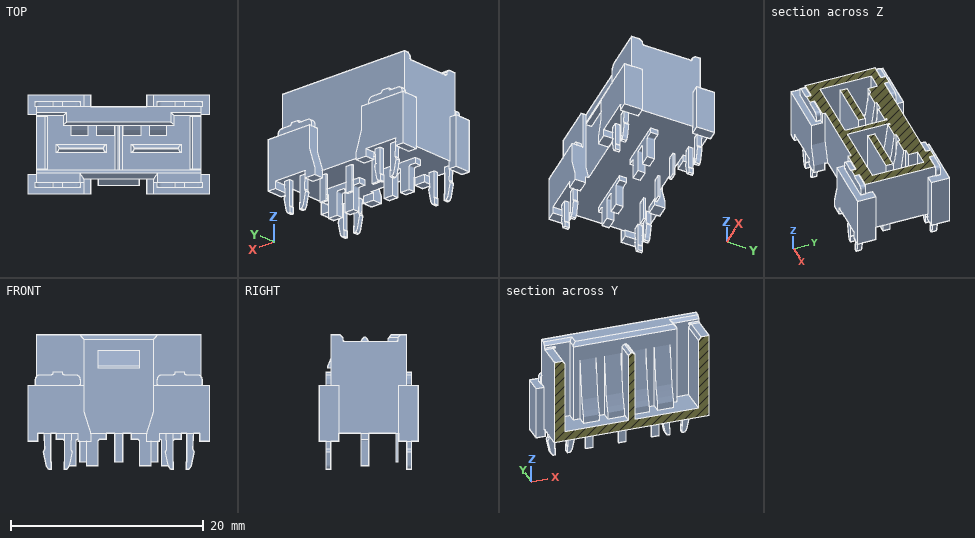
import cadquery as cq
import math


BODY_LENGTH = 17.1
BODY_WIDTH = 7.86
BODY_BOTTOM = 0.85
BODY_TOP = 11.1
BODY_FRONT = -BODY_WIDTH / 2
BODY_BACK = BODY_WIDTH / 2

CAVITY_LENGTH = 14.76
CAVITY_FRONT = -2.66
CAVITY_BACK = 3.02
CAVITY_FLOOR = 2.0
RIM_CHAMFER = 0.32
END_WALL_TOP = 10.39
END_WALL_CHAMFER_WIDTH = 0.27
END_WALL_CHAMFER_DEPTH = 0.39
NOTCH_CORNER = 0.13

BLOCK_LENGTH = 11.46
BLOCK_FRONT = 2.0
BLOCK_BEVEL_WIDTH = 0.32
BLOCK_BEVEL_DEPTH = 0.45
RIB_WIDTH = 0.74
RIB_TOP = 9.95
RIB_CHAMFER = 0.28

PANEL_LENGTH = 7.24
PANEL_FACE = -3.6
PANEL_TAPER_DEPTH = 0.51
PANEL_TAPER_SIDE = 0.42
LATCH_LENGTH = 4.3
LATCH_TIP = -4.27
LATCH_TOP = 9.43
LATCH_RIDGE = 7.82
LATCH_BOTTOM = 7.63

SHOULDER_SPAN_X = 18.9
SHOULDER_SPAN_Y = 10.3
SHOULDER_THICKNESS = 2.05
SHOULDER_TOP = 5.84
SHOULDER_SLANT_TOP = 3.13
FOOT_INNER_X = 2.9
FOOT_GAP_START = 4.26
FOOT_GAP_END = 8.41

CLIP_X = 6.34
CLIP_THICKNESS = 0.52
CLIP_WIDTH = 4.68
CLIP_TOP = 6.93
CLIP_CORNER = 0.51
CLIP_LOWER_CORNER = 0.1
BUMP_HALF_WIDTH = 0.48
BUMP_HEIGHT = 0.28
BUMP_FILLET = 0.2
LEG_INNER = 0.72
LEG_OUTER = 1.44
LEG_WAIST = 1.36
LEG_WAIST_Z = -0.8
LEG_BARB = 1.51
LEG_BARB_Z = -1.1
LEG_TAPER_END = 1.22
LEG_TAPER_END_Z = -2.45
LEG_TIP_INNER = 0.66
LEG_TIP_STEP_Z = -2.15
LEG_TIP_OUTER = 0.93
LEG_BOTTOM = -2.9

BLADE_X = 3.905
BLADE_LENGTH = 5.22
BLADE_BACK = 0.0
BLADE_THICKNESS = 0.82
BLADE_SHOULDER_Z = 10.15
BLADE_TOP = 10.88
BLADE_RIDGE_WIDTH = 0.1
BLADE_END_BEVEL = 0.3
BLADE_BOTTOM = 0.22
POWER_LEG_WIDTH = 1.22
POWER_LEG_BOTTOM = -2.53
POWER_LEG_OUTER_X = 5.05
POWER_LEG_INNER_X = 2.745
POWER_LEG_FILLET = 0.18

SPRING_TOP = 8.9
SPRING_CROWN_Y = 0.96
SPRING_CROWN_TOP = 2.7
SPRING_BENDS = [(1.46, 4.5), (1.31, 3.9), (1.15, 3.3)]
OUTER_SPRING_X = 4.1
OUTER_SPRING_WIDTH = 1.76
INNER_SPRING_X = 1.375
INNER_SPRING_WIDTH = 1.83
SIGNAL_PIN_PITCH = 3.65
SIGNAL_PIN_WIDTH = 0.84
SIGNAL_PIN_BACK = 3.06
SIGNAL_PIN_THICKNESS = 0.23
SIGNAL_PIN_BOTTOM = -2.15

EMBED = 0.5


def block(x_range, y_range, z_range):
    """Rectangular block between two limits on each axis."""
    (x0, x1), (y0, y1), (z0, z1) = x_range, y_range, z_range
    return cq.Workplane("XY").box(x1 - x0, y1 - y0, z1 - z0, centered=False).translate((x0, y0, z0))


def centred_block(length, y_range, z_range, x=0.0):
    """Rectangular block centred at x."""
    return block((x - length / 2, x + length / 2), y_range, z_range)


def bar_along_x(points, length, x=0.0):
    """Bar with a closed (y, z) section, centred at x."""
    return cq.Workplane("YZ").polyline(points).close().extrude(length / 2, both=True).translate((x, 0, 0))


def tapered_cutter(lower, upper, z0, z1):
    """Cutter between two (x half length, front y, back y) rectangles."""

    def corners(rectangle):
        half, front, back = rectangle
        return [(-half, front), (half, front), (half, back), (-half, back)]

    base = cq.Workplane("XY").workplane(offset=z0).polyline(corners(lower)).close()
    return base.workplane(offset=z1 - z0).polyline(corners(upper)).close().loft(ruled=True)


def end_wall_notch():
    """Full-length cutter that lowers the end walls and bevels the rims of the long walls."""
    profile = [
        (CAVITY_FRONT + NOTCH_CORNER, END_WALL_TOP),
        (CAVITY_BACK - NOTCH_CORNER, END_WALL_TOP),
        (CAVITY_BACK, END_WALL_TOP + NOTCH_CORNER),
        (CAVITY_BACK, BODY_TOP - RIM_CHAMFER),
        (CAVITY_BACK + RIM_CHAMFER, BODY_TOP),
        (CAVITY_FRONT - RIM_CHAMFER, BODY_TOP),
        (CAVITY_FRONT, BODY_TOP - RIM_CHAMFER),
        (CAVITY_FRONT, END_WALL_TOP + NOTCH_CORNER),
    ]
    return bar_along_x(profile, BODY_LENGTH)


def cavity():
    half = CAVITY_LENGTH / 2
    y_range = (CAVITY_FRONT, CAVITY_BACK)
    pocket = centred_block(CAVITY_LENGTH, y_range, (CAVITY_FLOOR, BODY_TOP))
    end_bevel = tapered_cutter(
        (half, *y_range),
        (half + END_WALL_CHAMFER_WIDTH, *y_range),
        END_WALL_TOP - END_WALL_CHAMFER_DEPTH,
        END_WALL_TOP,
    )
    return pocket.union(end_bevel).union(end_wall_notch())


def wall_block():
    """Thickening of the back wall, bevelled along its front and side rims."""
    half = BLOCK_LENGTH / 2
    back = CAVITY_BACK + RIM_CHAMFER
    depth_profile = [
        (back, BODY_BOTTOM),
        (BLOCK_FRONT, BODY_BOTTOM),
        (BLOCK_FRONT, BODY_TOP - BLOCK_BEVEL_DEPTH),
        (BLOCK_FRONT + BLOCK_BEVEL_WIDTH, BODY_TOP),
        (back, BODY_TOP),
    ]
    length_profile = [
        (-half, BODY_BOTTOM),
        (half, BODY_BOTTOM),
        (half, BODY_TOP - RIM_CHAMFER),
        (half - RIM_CHAMFER, BODY_TOP),
        (RIM_CHAMFER - half, BODY_TOP),
        (-half, BODY_TOP - RIM_CHAMFER),
    ]
    side_bevels = cq.Workplane("XZ").polyline(length_profile).close().extrude(-back)
    return bar_along_x(depth_profile, BLOCK_LENGTH).intersect(side_bevels)


def divider_rib():
    rib = centred_block(RIB_WIDTH, (CAVITY_FRONT - EMBED, BLOCK_FRONT + EMBED), (BODY_BOTTOM, RIB_TOP))
    return rib.edges("|Y and >Z").chamfer(RIB_CHAMFER)


def front_recess():
    """Cutter for the centre panel, flaring out at its upper rim."""
    half = PANEL_LENGTH / 2
    outside = BODY_FRONT - EMBED
    taper_bottom = BODY_TOP - PANEL_TAPER_DEPTH
    panel = centred_block(PANEL_LENGTH, (outside, PANEL_FACE), (BODY_BOTTOM, taper_bottom))
    flare = tapered_cutter(
        (half, outside, PANEL_FACE),
        (half + PANEL_TAPER_SIDE, outside, CAVITY_FRONT - RIM_CHAMFER),
        taper_bottom,
        BODY_TOP,
    )
    return panel.union(flare)


def latch():
    profile = [
        (PANEL_FACE + EMBED, LATCH_TOP),
        (PANEL_FACE, LATCH_TOP),
        (LATCH_TIP, LATCH_RIDGE),
        (LATCH_TIP, LATCH_BOTTOM),
        (PANEL_FACE + EMBED, LATCH_BOTTOM),
    ]
    return bar_along_x(profile, LATCH_LENGTH)


def shoulder():
    """Corner shoulder at +X +Y, with a gap under it between two feet."""
    outer_x = SHOULDER_SPAN_X / 2
    outer_y = SHOULDER_SPAN_Y / 2
    upper_inner_x = PANEL_LENGTH / 2
    profile = [
        (outer_x, 0),
        (outer_x, SHOULDER_TOP),
        (upper_inner_x, SHOULDER_TOP),
        (upper_inner_x, SHOULDER_SLANT_TOP),
        (FOOT_INNER_X, BODY_BOTTOM),
        (FOOT_INNER_X, 0),
        (FOOT_GAP_START, 0),
        (FOOT_GAP_START, BODY_BOTTOM),
        (FOOT_GAP_END, BODY_BOTTOM),
        (FOOT_GAP_END, 0),
    ]
    plate = cq.Workplane("XZ").polyline(profile).close().extrude(SHOULDER_THICKNESS)
    plate = plate.translate((0, outer_y, 0))
    under_body = block(
        (FOOT_INNER_X, FOOT_GAP_START),
        (outer_y - SHOULDER_THICKNESS, BODY_BACK),
        (0, BODY_BOTTOM),
    )
    return plate.cut(under_body)


def clip_plate():
    """Exposed top of a hold-down clip, with a centre bump on flared fillets."""
    half = CLIP_WIDTH / 2
    fillet_end = BUMP_HALF_WIDTH + BUMP_FILLET
    fillet_mid = fillet_end - BUMP_FILLET * math.sin(math.pi / 4)
    fillet_mid_z = CLIP_TOP + BUMP_FILLET * (1 - math.cos(math.pi / 4))
    bump = (
        cq.Workplane("XZ")
        .moveTo(-fillet_end, CLIP_TOP)
        .threePointArc((-fillet_mid, fillet_mid_z), (-BUMP_HALF_WIDTH, CLIP_TOP + BUMP_FILLET))
        .lineTo(-BUMP_HALF_WIDTH, CLIP_TOP + BUMP_HEIGHT)
        .lineTo(BUMP_HALF_WIDTH, CLIP_TOP + BUMP_HEIGHT)
        .lineTo(BUMP_HALF_WIDTH, CLIP_TOP + BUMP_FILLET)
        .threePointArc((fillet_mid, fillet_mid_z), (fillet_end, CLIP_TOP))
        .lineTo(fillet_end, SHOULDER_TOP)
        .lineTo(-fillet_end, SHOULDER_TOP)
        .close()
        .extrude(-CLIP_THICKNESS)
    )
    plate = block((-half, half), (0, CLIP_THICKNESS), (SHOULDER_TOP, CLIP_TOP))
    plate = plate.edges("|Y and >Z").fillet(CLIP_CORNER)
    plate = plate.edges("|Y and <Z").fillet(CLIP_LOWER_CORNER)
    return plate.union(bump)


def clip_leg():
    """Barbed snap-in leg on the +X side of a clip, rounded at the tip."""
    return (
        cq.Workplane("XZ")
        .moveTo(LEG_INNER, BODY_BOTTOM + EMBED)
        .lineTo(LEG_OUTER, BODY_BOTTOM + EMBED)
        .lineTo(LEG_OUTER, BODY_BOTTOM)
        .lineTo(LEG_WAIST, LEG_WAIST_Z)
        .lineTo(LEG_BARB, LEG_BARB_Z)
        .lineTo(LEG_TAPER_END, LEG_TAPER_END_Z)
        .tangentArcPoint((LEG_TIP_OUTER, LEG_BOTTOM), relative=False)
        .lineTo(LEG_TIP_INNER, LEG_BOTTOM)
        .lineTo(LEG_TIP_INNER, LEG_TIP_STEP_Z)
        .lineTo(LEG_INNER, LEG_TIP_STEP_Z)
        .close()
        .extrude(-CLIP_THICKNESS)
    )


def clip():
    """Hold-down clip at +X +Y."""
    leg = clip_leg()
    whole = clip_plate().union(leg).union(leg.mirror("YZ"))
    return whole.translate((CLIP_X, BODY_BACK, 0))


def power_blade():
    """Blade at +X with a rounded nose, bevelled ends and two solder legs."""
    half = BLADE_LENGTH / 2
    front = BLADE_BACK - BLADE_THICKNESS
    middle = (front + BLADE_BACK) / 2
    ridge = BLADE_RIDGE_WIDTH / 2
    nose_inset = BLADE_THICKNESS / 2 - ridge
    nose_height = BLADE_TOP - BLADE_SHOULDER_Z
    nose_radius = (nose_inset**2 + nose_height**2) / (2 * nose_inset)
    blade = (
        cq.Workplane("YZ")
        .moveTo(front, BLADE_BOTTOM)
        .lineTo(front, BLADE_SHOULDER_Z)
        .radiusArc((middle - ridge, BLADE_TOP), nose_radius)
        .lineTo(middle + ridge, BLADE_TOP)
        .radiusArc((BLADE_BACK, BLADE_SHOULDER_Z), nose_radius)
        .lineTo(BLADE_BACK, BLADE_BOTTOM)
        .close()
        .extrude(half, both=True)
    )
    outline = [
        (-half, BLADE_BOTTOM),
        (half, BLADE_BOTTOM),
        (half, BLADE_SHOULDER_Z),
        (half - BLADE_END_BEVEL, BLADE_TOP),
        (BLADE_END_BEVEL - half, BLADE_TOP),
        (-half, BLADE_SHOULDER_Z),
    ]
    envelope = cq.Workplane("XZ").polyline(outline).close().extrude(BLADE_THICKNESS)
    blade = blade.intersect(envelope.translate((0, BLADE_BACK, 0))).translate((BLADE_X, 0, 0))
    for x in (POWER_LEG_OUTER_X, POWER_LEG_INNER_X):
        leg = centred_block(POWER_LEG_WIDTH, (front, BLADE_BACK), (POWER_LEG_BOTTOM, BLADE_BOTTOM), x)
        blade = blade.union(leg)
    reach = POWER_LEG_WIDTH
    inside_corners = cq.selectors.BoxSelector(
        (POWER_LEG_INNER_X - reach, front - reach, BLADE_BOTTOM - reach),
        (POWER_LEG_OUTER_X + reach, BLADE_BACK + reach, BLADE_BOTTOM + reach),
    )
    return blade.edges("|Y").edges(inside_corners).fillet(POWER_LEG_FILLET)


def signal_spring(x, width):
    """Contact that leans out of the wall block and bends at its foot."""
    profile = [
        (BLOCK_FRONT + EMBED, SPRING_TOP),
        (BLOCK_FRONT, SPRING_TOP),
        *SPRING_BENDS,
        (SPRING_CROWN_Y, SPRING_CROWN_TOP),
        (SPRING_CROWN_Y, CAVITY_FLOOR - EMBED),
        (BLOCK_FRONT + EMBED, CAVITY_FLOOR - EMBED),
    ]
    return bar_along_x(profile, width, x)


def signal_pin(x):
    y_range = (SIGNAL_PIN_BACK - SIGNAL_PIN_THICKNESS, SIGNAL_PIN_BACK)
    return centred_block(SIGNAL_PIN_WIDTH, y_range, (SIGNAL_PIN_BOTTOM, BODY_BOTTOM + EMBED), x)


def housing():
    body = centred_block(BODY_LENGTH, (BODY_FRONT, BODY_BACK), (BODY_BOTTOM, BODY_TOP))
    body = body.cut(cavity()).cut(front_recess())
    return body.union(wall_block()).union(divider_rib()).union(latch())


def on_four_corners(corner):
    right_pair = corner.union(corner.mirror("XZ"))
    return right_pair.union(right_pair.mirror("YZ"))


result = housing().union(on_four_corners(shoulder())).union(on_four_corners(clip()))
blade = power_blade()
result = result.union(blade).union(blade.mirror("YZ"))
for side in (-1, 1):
    result = result.union(signal_spring(side * OUTER_SPRING_X, OUTER_SPRING_WIDTH))
    result = result.union(signal_spring(side * INNER_SPRING_X, INNER_SPRING_WIDTH))
for x in (-SIGNAL_PIN_PITCH, 0, SIGNAL_PIN_PITCH):
    result = result.union(signal_pin(x))